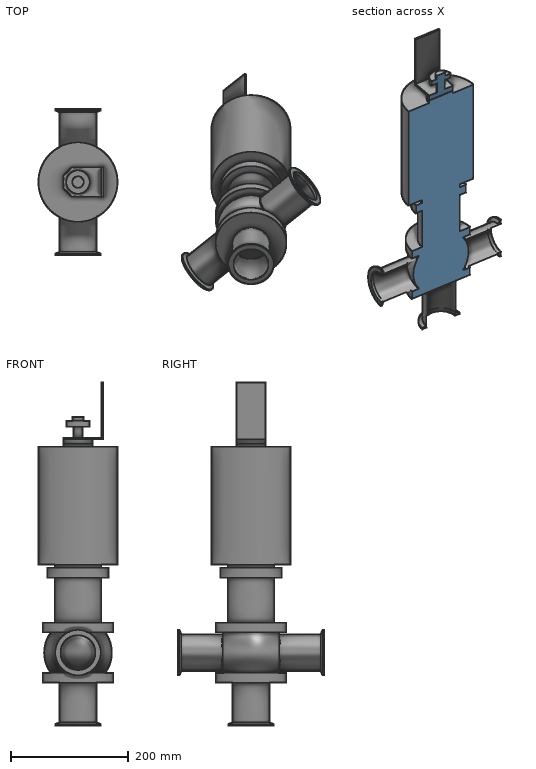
import cadquery as cq


BALL_DIAMETER = 116
FLANGE_DIAMETER = 121
FLANGE_OUTER_Z = 51.25
FLANGE_THICKNESS = 16.75

PORT_REACH = 125
TUBE_OUTER_DIAMETER = 63.5
TUBE_BORE_DIAMETER = 59.5
FERRULE_DIAMETER = 77.5
FERRULE_RIM = 3
FERRULE_TAPER = 3

COLUMN_DIAMETER = 80
COLLAR_DIAMETER = 105
COLLAR_BOTTOM_Z = 127.5
COLLAR_HEIGHT = 17.5
ACTUATOR_DIAMETER = 135.5
ACTUATOR_BOTTOM_Z = 150.25
ACTUATOR_TOP_Z = 351.25
NECK_DIAMETER = 50
NECK_HEIGHT = 5.5

BASE_HEIGHT = 7.25
BRACKET_WIDTH = NECK_DIAMETER
BRACKET_THICKNESS = 3
BRACKET_BACK_X = 43
BRACKET_TOP_Z = 461.25
BRACKET_CORNER_CUT = 14
STEM_DIAMETER = 16
KNOB_DIAMETER = 40
KNOB_BOTTOM_Z = 385.25
KNOB_HEIGHT = 10
CAP_DIAMETER = 19.5
CAP_HEIGHT = 7

NECK_TOP_Z = ACTUATOR_TOP_Z + NECK_HEIGHT
PLATE_BOTTOM_Z = NECK_TOP_Z + BASE_HEIGHT
PLATE_TOP_Z = PLATE_BOTTOM_Z + BRACKET_THICKNESS
KNOB_TOP_Z = KNOB_BOTTOM_Z + KNOB_HEIGHT


def cylinder(diameter, bottom_z, top_z):
    """Upright cylinder on the valve axis."""
    return cq.Workplane("XY").workplane(offset=bottom_z).circle(diameter / 2).extrude(top_z - bottom_z)


def port_tube():
    """Solid tube from the ball centre down to a ferrule at -PORT_REACH."""
    tube_radius = TUBE_OUTER_DIAMETER / 2
    rim_radius = FERRULE_DIAMETER / 2
    rim_z = -PORT_REACH + FERRULE_RIM
    shoulder_z = rim_z + FERRULE_TAPER
    return (
        cq.Workplane("XZ")
        .moveTo(0, -PORT_REACH)
        .lineTo(rim_radius, -PORT_REACH)
        .lineTo(rim_radius, rim_z)
        .lineTo(tube_radius, shoulder_z)
        .lineTo(tube_radius, 0)
        .lineTo(0, 0)
        .close()
        .revolve(360, (0, 0, 0), (0, 1, 0))
    )


def make_valve():
    """Valve body with its three ports, column, actuator and neck."""
    ball = cq.Workplane("XY").sphere(BALL_DIAMETER / 2)
    ball = ball.intersect(cylinder(BALL_DIAMETER, -FLANGE_OUTER_Z, FLANGE_OUTER_Z))

    valve = ball
    bore = cylinder(TUBE_BORE_DIAMETER, -PORT_REACH, 0)
    for turn in (0, -90, 90):
        port = port_tube().cut(bore).rotate((0, 0, 0), (1, 0, 0), turn)
        valve = valve.union(port)

    flange_inner_z = FLANGE_OUTER_Z - FLANGE_THICKNESS
    valve = valve.union(cylinder(FLANGE_DIAMETER, flange_inner_z, FLANGE_OUTER_Z))
    valve = valve.union(cylinder(FLANGE_DIAMETER, -FLANGE_OUTER_Z, -flange_inner_z))

    valve = valve.union(cylinder(COLUMN_DIAMETER, FLANGE_OUTER_Z, ACTUATOR_BOTTOM_Z))
    valve = valve.union(cylinder(COLLAR_DIAMETER, COLLAR_BOTTOM_Z, COLLAR_BOTTOM_Z + COLLAR_HEIGHT))
    valve = valve.union(cylinder(ACTUATOR_DIAMETER, ACTUATOR_BOTTOM_Z, ACTUATOR_TOP_Z))
    return valve.union(cylinder(NECK_DIAMETER, ACTUATOR_TOP_Z, NECK_TOP_Z))


def make_bracket():
    """L-shaped sheet: a plate over the base disc and an upright leg on the +X side."""
    front_x = -NECK_DIAMETER / 2
    half_width = BRACKET_WIDTH / 2
    plate = (
        cq.Workplane("XY", origin=(0, 0, PLATE_BOTTOM_Z))
        .moveTo(front_x, -half_width)
        .lineTo(BRACKET_BACK_X, -half_width)
        .lineTo(BRACKET_BACK_X, half_width)
        .lineTo(front_x, half_width)
        .close()
        .extrude(BRACKET_THICKNESS)
        .edges("|Z and <X")
        .chamfer(BRACKET_CORNER_CUT)
    )
    leg = (
        cq.Workplane("XY", origin=(BRACKET_BACK_X - BRACKET_THICKNESS / 2, 0, PLATE_BOTTOM_Z))
        .rect(BRACKET_THICKNESS, BRACKET_WIDTH)
        .extrude(BRACKET_TOP_Z - PLATE_BOTTOM_Z)
    )
    return plate.union(leg)


def make_indicator():
    """Base disc resting on the neck, with the bracket, stem, knob and cap."""
    indicator = cylinder(NECK_DIAMETER, NECK_TOP_Z, PLATE_BOTTOM_Z)
    indicator = indicator.union(make_bracket())
    indicator = indicator.union(cylinder(STEM_DIAMETER, PLATE_TOP_Z, KNOB_BOTTOM_Z))
    indicator = indicator.union(cylinder(KNOB_DIAMETER, KNOB_BOTTOM_Z, KNOB_TOP_Z))
    return indicator.union(cylinder(CAP_DIAMETER, KNOB_TOP_Z, KNOB_TOP_Z + CAP_HEIGHT))


valve = make_valve()
indicator = make_indicator()

result = cq.Compound.makeCompound([valve.val(), indicator.val()])